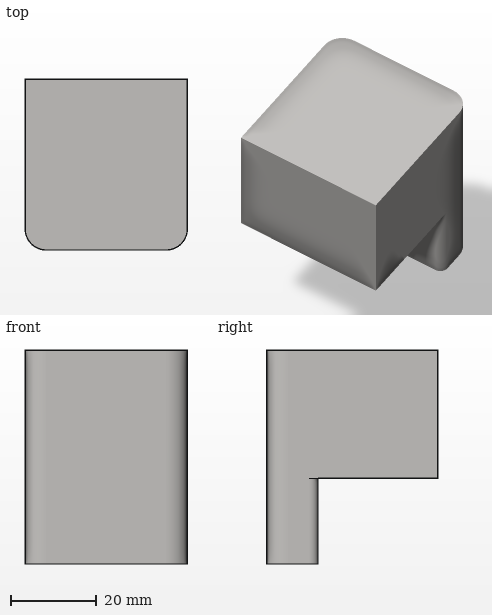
import cadquery as cq

width = 38
depth = 40
height = 50

leg_height = 20
leg_depth = 12

front_radius = 5
leg_back_radius = 2


def make_block():
    """Upper block over the full depth, with its front face at Y = 0."""
    block = cq.Workplane("XY").box(width, depth, height - leg_height, centered=(True, False, False))
    return block.translate((0, 0, leg_height)).edges("|Z and <Y").fillet(front_radius)


def make_leg():
    """Full-height front slab whose lower part forms the leg."""
    leg = cq.Workplane("XY").box(width, leg_depth, height, centered=(True, False, False))
    leg = leg.edges("|Z and <Y").fillet(front_radius)
    return leg.edges("|Z and >Y").fillet(leg_back_radius)


result = make_block().union(make_leg())